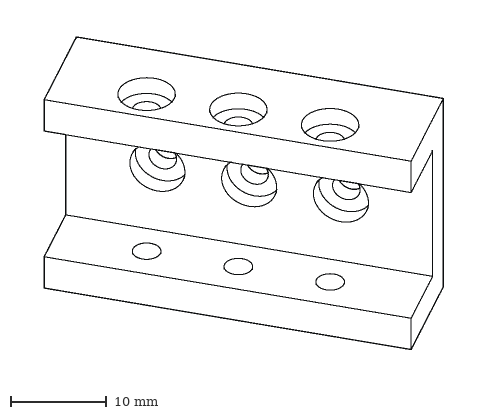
import cadquery as cq

length = 40.0
depth = 12.0
height = 24.0
wall = 4.0

hole_diameter = 3.0
counterbore_diameter = 6.0
counterbore_depth = 2.0
hole_pitch = 10.0
holes_per_row = 3

web_inner_y = depth / 2 - wall
flange_hole_y = -depth / 2 + (depth - wall) / 2


def counterbored_row(origin, direction, through_length):
    """Cutters for a row of holes along X, entering at origin and drilled along direction."""
    entry = cq.Plane(origin=origin, xDir=(1, 0, 0), normal=direction)
    row = cq.Workplane(entry).rarray(hole_pitch, 0.4, holes_per_row, 1)
    holes = row.circle(hole_diameter / 2).extrude(through_length)
    counterbores = row.circle(counterbore_diameter / 2).extrude(counterbore_depth)
    return holes.union(counterbores)


channel_gap = cq.Workplane("XY").box(length, depth - wall, height - 2 * wall)
channel_gap = channel_gap.translate((0, -wall / 2, 0))
channel = cq.Workplane("XY").box(length, depth, height).cut(channel_gap)

flange_holes = counterbored_row((0, flange_hole_y, height / 2), (0, 0, -1), height)

web_holes = counterbored_row((0, web_inner_y, 0), (0, 1, 0), wall)

result = channel.cut(flange_holes).cut(web_holes)